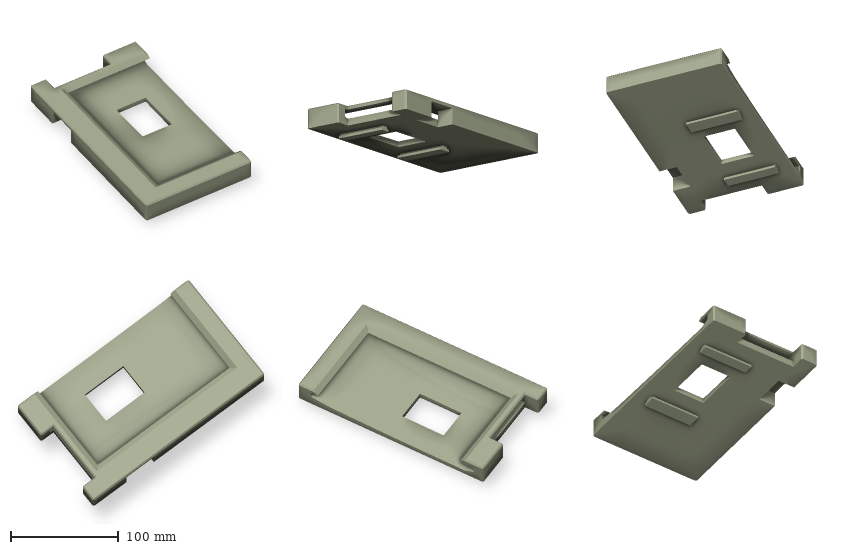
import cadquery as cq

length = 200.5
width = 115.8
body_height = 19.2
overall_height = 24.0
edge_chamfer = 1.5

notch_depth = 14.5
notch_front = 17.2
notch_back = 79.4

opening_left = 19.6
opening_right = 184.0
opening_front = 20.6
bevel_width = 5.0

lip_underside = 15.5
cavity_left = 10.5
cavity_right = 186.4
cavity_front = 17.2
cavity_side_bottom = 8.0
floor_points = [(20.0, 4.6), (59.3, 4.8), (116.2, 5.6), (150.3, 6.5), (168.3, 7.2), (186.4, 9.6)]

ramp_back = 40.9
ramp_level = 4.8
ramp_level_x = 59.3
ramp_rise_along_length = 0.008
ramp_rise_to_front = 0.1

window_left = 59.0
window_right = 103.8
window_front = 57.3
window_back = 89.4
passage_left = 38.5
passage_right = 70.5

rails = [(36.5, 10.0), (126.3, 13.0)]
rail_front = 52.5
rail_back = 103.2
rail_stem_width = 5.2
rail_foot_width = 7.2
rail_step_depth = 1.8
rail_flange_top = 2.6
rail_depth = overall_height - body_height


def box(x0, x1, y0, y1, z0, z1):
    return cq.Workplane("XY").box(x1 - x0, y1 - y0, z1 - z0, centered=False).translate((x0, y0, z0))


def extrude_along_y(outline, y0, y1):
    return outline.extrude(y0 - y1).translate((0, y0, 0))


def make_body():
    body = box(0, length, 0, width, 0, body_height)
    body = body.cut(box(0, notch_depth, notch_front, notch_back, 0, body_height))
    end_corners = body.faces("<X or >X").edges("|Z")
    chamfered_corners = end_corners.chamfer(edge_chamfer)
    chamfered_top = body.edges(">Z").chamfer(edge_chamfer)
    return chamfered_top.intersect(chamfered_corners)


def make_opening():
    """Bevelled cutter, narrowing from the top face down to the underside of the lip."""
    back = width + bevel_width

    def rectangle_wire(inset, z):
        x0 = opening_left + inset
        x1 = opening_right - inset
        y0 = opening_front + inset
        points = [(x0, y0, z), (x1, y0, z), (x1, back, z), (x0, back, z)]
        return cq.Wire.makePolygon([cq.Vector(*point) for point in points], close=True)

    wires = [rectangle_wire(bevel_width, lip_underside), rectangle_wire(0, body_height)]
    return cq.Workplane(cq.Solid.makeLoft(wires, True))


def ramp_height(x, y):
    return (
        ramp_level
        + ramp_rise_along_length * (x - ramp_level_x)
        + ramp_rise_to_front * (ramp_back - y)
    )


def make_space_above_ramp():
    def section(y):
        points = [
            (0, y, ramp_height(0, y)),
            (length, y, ramp_height(length, y)),
            (length, y, body_height),
            (0, y, body_height),
        ]
        return cq.Wire.makePolygon([cq.Vector(*point) for point in points], close=True)

    return cq.Workplane(cq.Solid.makeLoft([section(0), section(width)], True))


def make_cavity():
    outline = (
        cq.Workplane("XZ")
        .moveTo(cavity_left, lip_underside)
        .lineTo(cavity_left, cavity_side_bottom)
        .lineTo(*floor_points[0])
        .spline(floor_points[1:], includeCurrent=True)
        .lineTo(cavity_right, lip_underside)
        .close()
    )
    return extrude_along_y(outline, cavity_front, width).intersect(make_space_above_ramp())


def make_rail(centre, flange_width):
    stem = rail_stem_width / 2
    foot = rail_foot_width / 2
    flange = flange_width / 2
    right_side = [
        (stem, 0),
        (stem, -rail_step_depth),
        (foot, -rail_step_depth),
        (foot, -rail_flange_top),
        (flange, -rail_flange_top),
        (flange, -rail_depth),
    ]
    left_side = [(-x, z) for x, z in reversed(right_side)]
    outline = cq.Workplane("XZ").polyline(right_side + left_side).close()
    return extrude_along_y(outline, rail_front, rail_back).translate((centre, 0, 0))


result = make_body().cut(make_cavity()).cut(make_opening())
result = result.cut(box(window_left, window_right, window_front, window_back, 0, body_height))
result = result.cut(box(passage_left, passage_right, 0, cavity_front, 0, lip_underside))
for rail_centre, rail_flange_width in rails:
    result = result.union(make_rail(rail_centre, rail_flange_width))